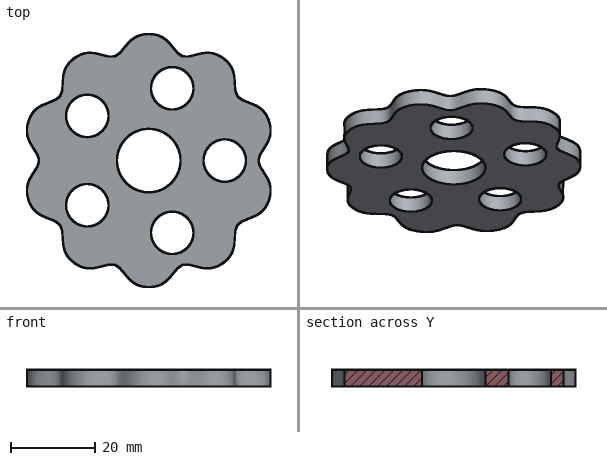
import cadquery as cq
import math

thickness = 4.0

lobe_count = 10
crest_radius = 30.0
valley_radius = 26.0
lobe_fullness = 0.31
samples_per_lobe = 24

bore_diameter = 15.0
ring_hole_count = 5
ring_hole_diameter = 10.0
ring_radius = 18.0


def rim_point(angle):
    """Rim point at an angle in radians, counterclockwise from +X."""
    wave = math.cos(lobe_count * angle)
    mean_radius = (crest_radius + valley_radius) / 2
    wave_height = (crest_radius - valley_radius) / 2
    radius = mean_radius - wave_height * wave + 2 * lobe_fullness * (1 - wave**2)
    return (radius * math.cos(angle), radius * math.sin(angle))


def make_plate():
    """Flat disc bounded by one smooth wavy curve."""
    sample_count = lobe_count * samples_per_lobe
    sample_pitch = 2 * math.pi / sample_count
    points = [rim_point(sample * sample_pitch) for sample in range(sample_count)]
    return cq.Workplane("XY").spline(points, periodic=True, makeWire=True).extrude(thickness)


def make_bore():
    """Central through bore."""
    return cq.Workplane("XY").circle(bore_diameter / 2).extrude(thickness)


def make_ring_holes():
    """Through holes evenly spaced on a circle, the first one on +X."""
    return (
        cq.Workplane("XY")
        .polarArray(ring_radius, 0, 360, ring_hole_count)
        .circle(ring_hole_diameter / 2)
        .extrude(thickness)
    )


result = make_plate().cut(make_bore()).cut(make_ring_holes())